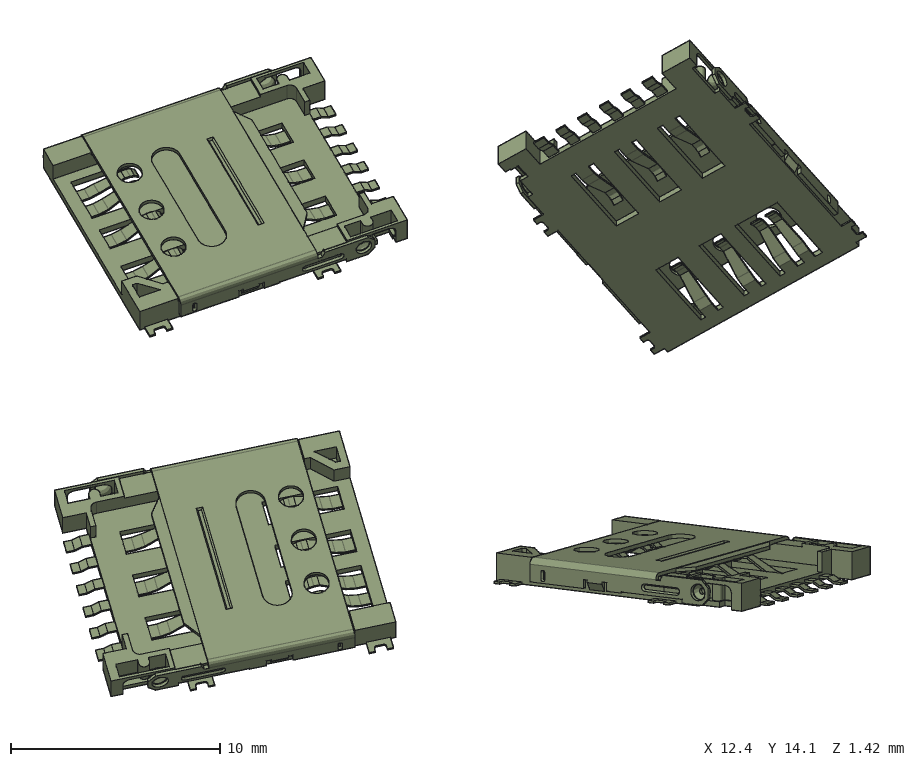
import cadquery as cq


body_half = 5.6
body_height = 1.37
floor_back = 12.86
floor_top = 0.38
rail_inner = 4.45
rail_step = 0.17
front_post_length = 2.02
rear_post_start = 10.85
rear_post_back = 14.02
rear_post_inner = 3.98
rear_stop_y = 12.59
rear_stop_inner = 3.16
rail_corner_radius = 0.35

key_inner = 3.5
key_straight = 0.79
key_end = 1.72
key_pocket_outer = 4.75
key_pocket_inner = 3.92
key_pocket_front = 0.37
key_pocket_corner = 0.6
key_pocket_tip = 1.47

pocket_inner = 4.72
pocket_outer = 5.45
pocket_front = 11.11
pocket_back = 13.56
pocket_floor = 0.27
nose_tip = 5.2
nose_radius = 0.27
nose_y = 12.22
slit_inner = 5.33
slit_front = 11.7
slit_back = 13.37
switch_hole_inner = 4.88
switch_hole_front = 12.58
opening_front = 11.56
opening_back = 13.42
opening_top = 1.15

contact_pitch = 2.54
window_length = 3.72
front_window_y = 0.69
rear_window_y = 11.4
window_outer = 3.17
window_inner = 1.86
wide_window_outer = 3.93
wide_window_inner = 1.45
center_window_half = 0.63

sheet = 0.2
cover_half = 5.81
cover_front = 2.06
cover_back = 9.25
bend_radius = 0.3
lip_step = 0.03
lip_back = 9.84
lip_base_half = 4.06
lip_tip_half = 3.2
wall_bottom = 0.21
arm_bottom = 0.08
arm_top = 1.33
arm_gap = 0.05
arm_back = 12.24
arm_end_chamfer = 0.37
relief_back = 9.62
relief_bottom = 1.05
relief_slope = 0.14
wall_step_y = 7.25
wall_step_bottom = 0.27
arm_step_y = 10.75
rib_depth = 0.11
rib_draft = 35

sheet_bottom = body_height - sheet
groove_y = 7.55
groove_length = 5.92
groove_width = 0.32
slot_y = 5.1
slot_length = 6.68
slot_width = 1.42
hole_y = 3.15
hole_diameter = 1.2

window_front = 5.1
window_back = 6.43
window_top = 0.63
latch_length = 0.85
latch_back = 6.18
latch_bend = 0.52
latch_bottom = 0.14

arm_rib_y = 9.52
arm_rib_z = 0.62
arm_rib_length = 2.17
arm_rib_height = 0.37
front_rib_y = 2.79
front_rib_z = 0.58
front_rib_length = 0.23
front_rib_height = 0.55

dimple_y = 11.65
dimple_z = 0.7
dimple_diameter = 0.8
dimple_tip_diameter = 0.3
dimple_depth = 0.56
bump_radius = 0.41

contact_sheet = 0.11
contact_root = 0.14
contact_width = 0.72
contact_tip_width = 0.52
contact_tip_top = 0.9
extra_contact_width = 0.62
extra_contact_x = -3.19
extra_contact_shift = 0.24
extra_tip_width = 0.48
left_contact_inset = 0.42

terminal_pitch = 1.27
terminal_count = 6
terminal_width = 0.52
end_terminal_width = 0.59
terminal_back = 14.1
terminal_bottom = -0.05
terminal_rise = 0.2

overall_width = 12.4
tab_half = overall_width / 2
tab_length = 1.2
tab_thickness = 0.11
tab_notch_depth = 0.3
tab_notch_width = 0.59
tab_notch_fillet = 0.13
front_tab_y = 0.86
rear_tab_y = 9.66


def block(x0, x1, y0, y1, z0, z1):
    return cq.Workplane("XY").box(x1 - x0, y1 - y0, z1 - z0, centered=False).translate((x0, y0, z0))


def plan(points, z0, z1):
    return cq.Workplane("XY").workplane(offset=z0).polyline(points).close().extrude(z1 - z0)


def side_profile(points, x0, x1):
    return cq.Workplane("YZ").workplane(offset=x0).polyline(points).close().extrude(x1 - x0)


def mirrored(shape):
    return shape.union(shape.mirror("YZ"))


def rear_post():
    """Right rear post with its card stop and rounded inner corner."""
    return (
        cq.Workplane("XY")
        .moveTo(body_half, rear_post_start)
        .lineTo(body_half, rear_post_back)
        .lineTo(rear_post_inner, rear_post_back)
        .lineTo(rear_post_inner, floor_back)
        .lineTo(rear_stop_inner, floor_back)
        .lineTo(rear_stop_inner, rear_stop_y)
        .lineTo(rail_inner - rail_corner_radius, rear_stop_y)
        .radiusArc((rail_inner, rear_stop_y - rail_corner_radius), rail_corner_radius)
        .lineTo(rail_inner, rear_post_start)
        .close()
        .extrude(body_height)
    )


def post_pocket():
    """Pocket of the right rear post, narrowed by a rounded nose, and its side opening."""
    pocket = block(pocket_inner, pocket_outer, pocket_front, pocket_back, pocket_floor, body_height)
    nose_height = body_height - pocket_floor
    nose_center = nose_tip - nose_radius
    nose = (
        block(
            pocket_inner, nose_center, nose_y - nose_radius, nose_y + nose_radius,
            pocket_floor, body_height,
        )
        .union(
            cq.Workplane("XY").workplane(offset=pocket_floor)
            .center(nose_center, nose_y).circle(nose_radius).extrude(nose_height)
        )
    )
    opening = block(slit_inner, body_half, opening_front, opening_back, 0, opening_top)
    opening = opening.edges("|X and >Y and >Z").fillet(rail_corner_radius)
    slit = block(slit_inner, pocket_outer, slit_front, slit_back, 0, body_height)
    return pocket.cut(nose).union(opening).union(slit)


def housing():
    body = block(-body_half, body_half, 0, floor_back, 0, floor_top)

    rail = block(rail_inner, body_half, 0, cover_back, 0, body_height - sheet)
    step = block(rail_inner, body_half, cover_back, rear_post_start, 0, body_height - rail_step)
    post = block(rail_inner, body_half, 0, front_post_length, 0, body_height)
    body = body.union(mirrored(rail.union(step).union(post).union(rear_post())))

    key = plan(
        [
            (body_half, 0),
            (key_inner, 0),
            (key_inner, key_straight),
            (rail_inner, key_end),
            (body_half, key_end),
        ],
        0, body_height,
    )
    key_pocket = plan(
        [
            (key_pocket_outer, key_pocket_tip),
            (key_pocket_outer, key_pocket_front),
            (key_pocket_inner, key_pocket_front),
            (key_pocket_inner, key_pocket_corner),
        ],
        floor_top, body_height,
    )
    body = body.union(key).cut(key_pocket)

    body = body.cut(mirrored(post_pocket()))
    switch_hole = block(switch_hole_inner, pocket_outer, switch_hole_front, slit_back, 0, floor_top)
    body = body.cut(switch_hole)

    front_windows = [
        (-wide_window_outer, -wide_window_inner),
        (-center_window_half, center_window_half),
        (window_inner, window_outer),
    ]
    rear_windows = [(-window_outer, -window_inner)] + front_windows[1:]
    for x0, x1 in front_windows:
        body = body.cut(block(x0, x1, front_window_y, front_window_y + window_length, 0, floor_top))
    for x0, x1 in rear_windows:
        body = body.cut(block(x0, x1, rear_window_y - window_length, rear_window_y, 0, floor_top))
    return body


def pressed_rib(y, z, length, height):
    """Round-ended recess in the outer face of the right cover wall."""
    angle = 0 if length > height else 90
    return (
        cq.Workplane("YZ").workplane(offset=cover_half).center(y, z)
        .slot2D(max(length, height), min(length, height), angle).extrude(-rib_depth, taper=rib_draft)
    )


def cover_wall():
    """Right cover wall with its rearward spring arm, latch, ribs and the ball that catches the post."""
    wall = side_profile(
        [
            (cover_front, wall_bottom),
            (wall_step_y, wall_bottom),
            (wall_step_y, wall_step_bottom),
            (arm_step_y, wall_step_bottom),
            (arm_step_y, arm_bottom),
            (arm_back - arm_end_chamfer, arm_bottom),
            (arm_back, arm_bottom + arm_end_chamfer),
            (arm_back, arm_top - arm_end_chamfer),
            (arm_back - arm_end_chamfer, arm_top),
            (relief_back, arm_top),
            (relief_back - relief_slope, relief_bottom),
            (cover_back, relief_bottom),
            (cover_front, relief_bottom),
        ],
        body_half, cover_half,
    )
    gap = block(body_half, body_half + arm_gap, relief_back, arm_back, arm_bottom, arm_top)
    wall = wall.cut(gap)

    latch_window = block(body_half, cover_half, window_front, window_back, wall_bottom, window_top)
    latch = cq.Workplane("XZ", origin=(0, latch_back, 0)).polyline(
        [
            (body_half, latch_bottom),
            (cover_half, latch_bend),
            (cover_half, window_top),
            (body_half, window_top),
        ]
    ).close().extrude(latch_length)
    wall = wall.cut(latch_window).union(latch)
    wall = wall.cut(pressed_rib(arm_rib_y, arm_rib_z, arm_rib_length, arm_rib_height))
    wall = wall.cut(pressed_rib(front_rib_y, front_rib_z, front_rib_length, front_rib_height))

    ball = cq.Workplane("XY").sphere(bump_radius, direct=(1, 0, 0))
    ball = ball.translate((pocket_outer, dimple_y, dimple_z))
    return wall.union(ball.cut(block(cover_half, tab_half, pocket_front, arm_back, 0, body_height)))


def dimple():
    """Hollow pressed into the right spring arm, with a smaller recess at its tip."""
    hollow = cq.Workplane("XY").sphere(dimple_diameter / 2, direct=(1, 0, 0))
    hollow = hollow.translate((cover_half, dimple_y, dimple_z))
    tip = (
        cq.Workplane("YZ").workplane(offset=cover_half).center(dimple_y, dimple_z)
        .circle(dimple_tip_diameter / 2).extrude(-dimple_depth)
    )
    return hollow.union(tip)


def cover_top():
    """Cover sheet with bent edges, lead-in lip, pressed groove, slot and inspection holes."""
    top = block(-cover_half, cover_half, cover_front, cover_back, relief_bottom, body_height)
    top = top.edges("|Y and >Z").fillet(bend_radius)
    top = top.cut(block(-body_half, body_half, cover_front, cover_back, 0, sheet_bottom))
    lip = plan(
        [
            (-lip_base_half, cover_back),
            (-lip_tip_half, lip_back),
            (lip_tip_half, lip_back),
            (lip_base_half, cover_back),
        ],
        sheet_bottom, body_height - lip_step,
    )
    groove = (
        cq.Workplane("XY").workplane(offset=body_height).center(0, groove_y)
        .rect(groove_length, groove_width).extrude(-rib_depth, taper=rib_draft)
    )
    slot = (
        cq.Workplane("XY").workplane(offset=sheet_bottom)
        .center(0, slot_y).slot2D(slot_length, slot_width).extrude(sheet)
    )
    holes = (
        cq.Workplane("XY").workplane(offset=sheet_bottom).center(0, hole_y)
        .pushPoints([(column * contact_pitch, 0) for column in (-1, 0, 1)])
        .circle(hole_diameter / 2).extrude(sheet)
    )
    return top.union(lip).cut(groove).cut(slot).cut(holes)


def spring_contact(x, width, tip_width, tip_shift=0):
    """Front spring contact, rooted in the floor at the front edge of its window."""
    bend_length = 0.5
    bend_start = front_window_y + bend_length
    bend_end = bend_start + bend_length
    crest_start = 2.96
    crest_end = 3.25
    curl_start = 3.47
    tip_end = 3.7
    root_start = front_window_y - contact_root
    curl_drop = 0.05
    tip_drop = 0.21
    bend_rise = 0.13
    upper = [
        (root_start, contact_sheet),
        (bend_start, contact_sheet),
        (bend_end, contact_sheet + bend_rise),
        (crest_start, contact_tip_top),
        (crest_end, contact_tip_top),
        (curl_start, contact_tip_top - curl_drop),
        (tip_end, contact_tip_top - tip_drop),
    ]
    lower = [(y, z - contact_sheet) for y, z in reversed(upper)]
    strip = side_profile(upper + lower, x - width, x + width)
    outline = plan(
        [
            (x - width / 2, root_start),
            (x + width / 2, root_start),
            (x + width / 2, bend_end),
            (x + tip_shift + tip_width / 2, crest_start),
            (x + tip_shift + tip_width / 2, tip_end),
            (x + tip_shift - tip_width / 2, tip_end),
            (x + tip_shift - tip_width / 2, crest_start),
            (x - width / 2, bend_end),
        ],
        0, body_height,
    )
    return strip.intersect(outline)


def terminal(x, width):
    """Rear solder terminal, stepped down from the floor to the board."""
    foot_front = 13.7
    rise_front = 13.32
    upper = [
        (floor_back - contact_root, terminal_bottom + terminal_rise + contact_sheet),
        (rise_front, terminal_bottom + terminal_rise + contact_sheet),
        (foot_front, terminal_bottom + contact_sheet),
        (terminal_back, terminal_bottom + contact_sheet),
    ]
    lower = [(y, z - contact_sheet) for y, z in reversed(upper)]
    return side_profile(upper + lower, x - width / 2, x + width / 2)


def solder_tab(y):
    """Right solder tab with a notch in its outer end."""
    tab = block(
        body_half - contact_root, tab_half,
        y - tab_length / 2, y + tab_length / 2, 0, tab_thickness,
    )
    notch = block(
        tab_half - tab_notch_depth, tab_half,
        y - tab_notch_width / 2, y + tab_notch_width / 2, 0, tab_thickness,
    )
    notch = notch.edges("|Z and <X").fillet(tab_notch_fillet)
    return tab.cut(notch)


result = housing().union(cover_top())

result = result.union(mirrored(cover_wall())).cut(mirrored(dimple()))
result = result.union(mirrored(solder_tab(front_tab_y).union(solder_tab(rear_tab_y))))

for column in (-1, 0, 1):
    contact = spring_contact(column * contact_pitch, contact_width, contact_tip_width)
    rear_contact = contact.mirror("XZ").translate((0, front_window_y + rear_window_y, 0))
    inset = left_contact_inset if column < 0 else 0
    result = result.union(contact.translate((inset, 0, 0))).union(rear_contact)
result = result.union(
    spring_contact(extra_contact_x, extra_contact_width, extra_tip_width, extra_contact_shift)
)

for index in range(terminal_count):
    is_end = index in (0, terminal_count - 1)
    x = (index - (terminal_count - 1) / 2) * terminal_pitch
    result = result.union(terminal(x, end_terminal_width if is_end else terminal_width))